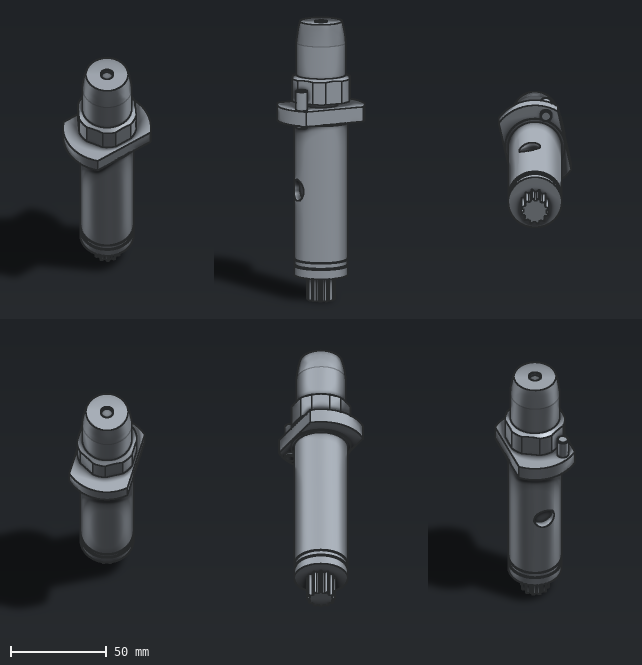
import cadquery as cq
import math

SPLINE_TOP = 13.1
CAP_TOP = 18.5
SEAL_GROOVE_TOP = 18.9
RING_TOP = 21.4
BODY_BOTTOM = 21.8
FLANGE_BOTTOM = 95.5
FLANGE_TOP = 103.2
NECK_FLARE_TOP = 104.0
NUT_BOTTOM = 105.9
NUT_TOP = 119.2
NOSE_BASE = 136.3
TOP = 147.5

BODY_DIA = 28.0
CAP_CHAMFER = 0.5
RING_DIA = 27.9
BODY_GROOVE_DIA = 27.6
SEAL_GROOVE_DIA = 23.7
COLLAR_DIA = 31.3
COLLAR_HEIGHT = 0.9
NECK_DIA = 17.4
NECK_FLARE_DIA = 17.7
SLEEVE_DIA = 26.0
NOSE_TOP_DIA = 22.0
NOSE_BULGE = 0.37

NUT_ACROSS_FLATS = 29.8
NUT_CORNER_DIA = 31.3
NUT_CHAMFER_ANGLE = 30.0

FLANGE_DIA = 45.9
FLANGE_WIDTH = 31.5

PIN_DIA = 6.0
PIN_CHAMFER = 0.52
PIN_X = -9.3
PIN_Y = 16.0
PIN_BOTTOM = 93.5
PIN_TOP = 113.6

SPLINE_TEETH = 12
SPLINE_DIA = 14.8
SPLINE_ROOT_DIA = 12.0
TOOTH_TIP_WIDTH = 0.5
TOOTH_BASE_WIDTH = 2.0
SPLINE_CHAMFER = 0.5

TOP_HOLE_DIA = 6.0
TOP_HOLE_CHAMFER = 0.3
TOP_HOLE_DEPTH = 2.0
SIDE_HOLE_DIA = 11.2
SIDE_HOLE_DEPTH = 4.4
SIDE_HOLE_Z = 59.0


def cylinder(diameter, bottom, top):
    return cq.Workplane("XY").workplane(offset=bottom).circle(diameter / 2).extrude(top - bottom)


def make_body():
    body = cylinder(BODY_DIA, SPLINE_TOP, CAP_TOP).faces(">Z").chamfer(CAP_CHAMFER)
    body = body.union(cylinder(SEAL_GROOVE_DIA, CAP_TOP, SEAL_GROOVE_TOP))
    body = body.union(cylinder(RING_DIA, SEAL_GROOVE_TOP, RING_TOP))
    body = body.union(cylinder(BODY_GROOVE_DIA, RING_TOP, BODY_BOTTOM))
    body = body.union(cylinder(BODY_DIA, BODY_BOTTOM, FLANGE_BOTTOM))
    return body.union(cylinder(COLLAR_DIA, FLANGE_BOTTOM - COLLAR_HEIGHT, FLANGE_BOTTOM))


def make_flange():
    disc = cylinder(FLANGE_DIA, FLANGE_BOTTOM, FLANGE_TOP)
    between_flats = cq.Workplane("XY").rect(FLANGE_WIDTH, FLANGE_DIA).extrude(TOP)
    return disc.intersect(between_flats)


def make_neck_and_nose():
    """Neck, sleeve and slightly bulged nose, turned as one profile."""
    mid_radius = (SLEEVE_DIA + NOSE_TOP_DIA) / 4 + NOSE_BULGE
    mid_height = (NOSE_BASE + TOP) / 2
    profile = (
        cq.Workplane("XZ")
        .moveTo(0, FLANGE_TOP)
        .lineTo(NECK_FLARE_DIA / 2, FLANGE_TOP)
        .lineTo(NECK_DIA / 2, NECK_FLARE_TOP)
        .lineTo(NECK_DIA / 2, NUT_BOTTOM)
        .lineTo(SLEEVE_DIA / 2, NUT_BOTTOM)
        .lineTo(SLEEVE_DIA / 2, NOSE_BASE)
        .threePointArc((mid_radius, mid_height), (NOSE_TOP_DIA / 2, TOP))
        .lineTo(0, TOP)
        .close()
    )
    return profile.revolve(360, (0, 0, 0), (0, 1, 0))


def make_nut():
    """Hexagon with flats toward +X and -X, rounded corners and a chamfered top."""
    corner_radius = NUT_CORNER_DIA / 2
    sleeve_radius = SLEEVE_DIA / 2
    chamfer_drop = (corner_radius - sleeve_radius) * math.tan(math.radians(NUT_CHAMFER_ANGLE))
    hexagon = (
        cq.Workplane("XY")
        .workplane(offset=NUT_BOTTOM)
        .polygon(6, NUT_ACROSS_FLATS, circumscribed=True)
        .extrude(NUT_TOP - NUT_BOTTOM)
    )
    turned = (
        cq.Workplane("XZ")
        .moveTo(0, NUT_BOTTOM)
        .lineTo(corner_radius, NUT_BOTTOM)
        .lineTo(corner_radius, NUT_TOP - chamfer_drop)
        .lineTo(sleeve_radius, NUT_TOP)
        .lineTo(0, NUT_TOP)
        .close()
        .revolve(360, (0, 0, 0), (0, 1, 0))
    )
    return hexagon.intersect(turned)


def make_pin():
    pin = cylinder(PIN_DIA, PIN_BOTTOM, PIN_TOP).faces("<Z or >Z").chamfer(PIN_CHAMFER)
    return pin.translate((PIN_X, PIN_Y, 0))


def make_spline():
    """Root cylinder carrying tapered teeth, one of them centred on +X."""
    half_tip = TOOTH_TIP_WIDTH / 2
    half_base = TOOTH_BASE_WIDTH / 2
    tip_radius = SPLINE_DIA / 2
    base_radius = math.sqrt((SPLINE_ROOT_DIA / 2) ** 2 - half_base**2)
    tooth = (
        cq.Workplane("XY")
        .polyline([
            (0, -half_base),
            (base_radius, -half_base),
            (tip_radius, -half_tip),
            (tip_radius, half_tip),
            (base_radius, half_base),
            (0, half_base),
        ])
        .close()
        .extrude(SPLINE_TOP)
    )
    shaft = cylinder(SPLINE_ROOT_DIA, 0, SPLINE_TOP)
    for index in range(SPLINE_TEETH):
        shaft = shaft.union(tooth.rotate((0, 0, 0), (0, 0, 1), index * 360 / SPLINE_TEETH))
    blank = cylinder(SPLINE_DIA, 0, SPLINE_TOP).faces("<Z").chamfer(SPLINE_CHAMFER)
    return shaft.intersect(blank)


def make_top_hole():
    """Shallow blind hole with a chamfered mouth."""
    radius = TOP_HOLE_DIA / 2
    profile = (
        cq.Workplane("XZ")
        .moveTo(0, TOP - TOP_HOLE_DEPTH)
        .lineTo(radius, TOP - TOP_HOLE_DEPTH)
        .lineTo(radius, TOP - TOP_HOLE_CHAMFER)
        .lineTo(radius + TOP_HOLE_CHAMFER, TOP)
        .lineTo(0, TOP)
        .close()
    )
    return profile.revolve(360, (0, 0, 0), (0, 1, 0))


def make_side_hole():
    """Blind hole drilled into the body from the +Y side."""
    hole = cq.Workplane("XZ").center(0, SIDE_HOLE_Z).circle(SIDE_HOLE_DIA / 2).extrude(-BODY_DIA)
    return hole.translate((0, BODY_DIA / 2 - SIDE_HOLE_DEPTH, 0))


result = (
    make_body()
    .union(make_flange())
    .union(make_neck_and_nose())
    .union(make_nut())
    .union(make_pin())
    .union(make_spline())
    .cut(make_top_hole())
    .cut(make_side_hole())
)